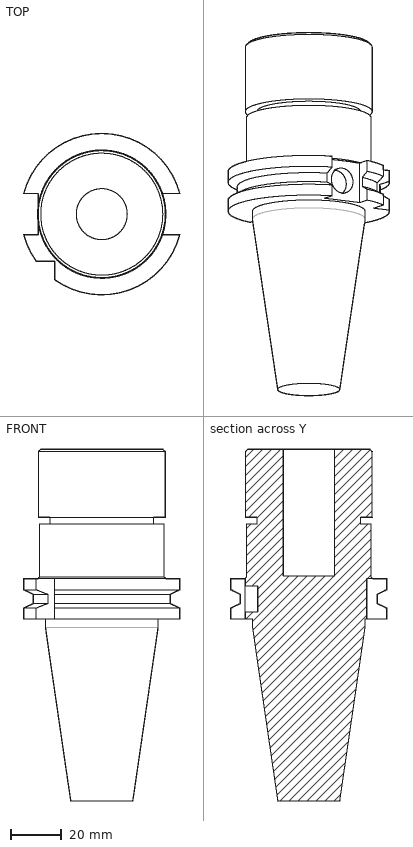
import cadquery as cq

total_height = 138.4
gauge_z = 68.4
flange_bottom_z = 71.5
flange_height = 15.9
collar_height = 0.7
body_top_z = 109.0
nut_bottom_z = 111.5

gauge_dia = 44.4
taper_ratio = 7 / 24
flange_dia = 63.5
groove_dia = 56.3
collar_dia = 50.5
body_dia = 49.1
neck_dia = 40.8
nut_dia = 50.0
nut_chamfer = 1.0

groove_mouth = 7.2
groove_floor = 3.6

slot_width = 16.2
left_slot_floor = 25.0
right_slot_floor = 22.8
notch_offset = 18.5
bore_dia = 20.0
bore_depth = 49.8
side_hole_dia = 10.0
side_hole_depth = 5.0

flange_top_z = flange_bottom_z + flange_height
flange_mid_z = flange_bottom_z + flange_height / 2
small_end_dia = gauge_dia - taper_ratio * gauge_z


def turned_blank():
    """Taper, grooved flange, body, neck and nut revolved as one profile."""
    diameter_and_z = [
        (0, 0),
        (small_end_dia, 0),
        (gauge_dia, gauge_z),
        (gauge_dia, flange_bottom_z),
        (flange_dia, flange_bottom_z),
        (flange_dia, flange_mid_z - groove_mouth / 2),
        (groove_dia, flange_mid_z - groove_floor / 2),
        (groove_dia, flange_mid_z + groove_floor / 2),
        (flange_dia, flange_mid_z + groove_mouth / 2),
        (flange_dia, flange_top_z),
        (collar_dia, flange_top_z),
        (body_dia, flange_top_z + collar_height),
        (body_dia, body_top_z),
        (neck_dia, body_top_z),
        (neck_dia, nut_bottom_z),
        (nut_dia, nut_bottom_z),
        (nut_dia, total_height - nut_chamfer),
        (nut_dia - 2 * nut_chamfer, total_height),
        (0, total_height),
    ]
    points = [(diameter / 2, z) for diameter, z in diameter_and_z]
    return cq.Workplane("XZ").polyline(points).close().revolve(360, (0, 0), (0, 1))


def flange_cutter(x_start, x_end, y_start, y_end):
    """Rectangular block spanning the full height of the flange."""
    return (
        cq.Workplane("XY", origin=(0, 0, flange_bottom_z))
        .moveTo(x_start, y_start)
        .lineTo(x_end, y_start)
        .lineTo(x_end, y_end)
        .lineTo(x_start, y_end)
        .close()
        .extrude(flange_height)
    )


def drive_slots():
    """Two opposed slots with floors at different distances from the axis."""
    half_width = slot_width / 2
    left = flange_cutter(-flange_dia, -left_slot_floor, -half_width, half_width)
    right = flange_cutter(right_slot_floor, flange_dia, -half_width, half_width)
    return left.union(right)


def orientation_notch():
    """Square corner removed from the -X, -Y side of the flange."""
    return flange_cutter(-flange_dia, -notch_offset, -flange_dia, -notch_offset)


def tool_bore():
    """Blind bore from the top face."""
    return (
        cq.Workplane("XY", origin=(0, 0, total_height - bore_depth))
        .circle(bore_dia / 2)
        .extrude(bore_depth)
    )


def side_hole():
    """Blind hole in the floor of the -X drive slot."""
    return (
        cq.Workplane("YZ", origin=(-left_slot_floor, 0, flange_mid_z))
        .circle(side_hole_dia / 2)
        .extrude(side_hole_depth)
    )


result = (
    turned_blank()
    .cut(drive_slots())
    .cut(orientation_notch())
    .cut(tool_bore())
    .cut(side_hole())
)